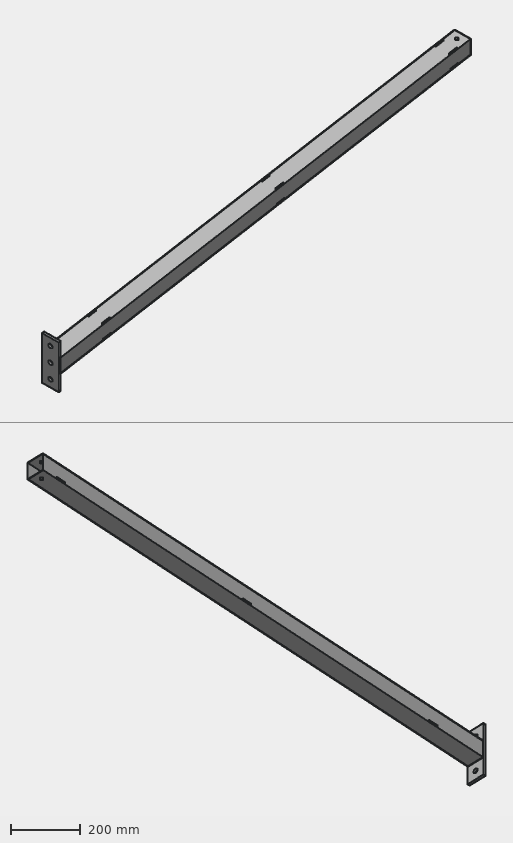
import cadquery as cq

TOTAL_LENGTH = 1816.0
TUBE_SIDE = 64.0
TUBE_CORNER_RADIUS = 3.3
WALL = 2.2

PLATE_HEIGHT = 190.0
PLATE_THICKNESS = 9.0
PLATE_HOLE_DIAMETER = 15.8
PLATE_HOLE_COUNT = 3
PLATE_HOLE_SPACING = PLATE_HEIGHT / PLATE_HOLE_COUNT

END_HOLE_DIAMETER = 10.0
END_HOLE_INSET = 25.0

SLOT_LENGTH = 35.0
SLOT_WIDTH = 4.0
SLOT_EDGE_OFFSET = 5.0
FIRST_SLOT_INSET = 73.0
SLOT_PITCH = 765.0
SLOT_STATIONS = 3

TUBE_LENGTH = TOTAL_LENGTH - PLATE_THICKNESS
SLOT_OFFSET = TUBE_SIDE / 2 - SLOT_EDGE_OFFSET


def make_plate():
    """Upright plate with its outer face at Y = 0 and a column of bolt holes."""
    plate = cq.Workplane("XY").box(TUBE_SIDE, PLATE_THICKNESS, PLATE_HEIGHT, centered=(True, False, True))
    holes = (
        cq.Workplane("XZ")
        .rarray(18, PLATE_HOLE_SPACING, 1, PLATE_HOLE_COUNT)
        .circle(PLATE_HOLE_DIAMETER / 2)
        .extrude(-PLATE_THICKNESS)
    )
    return plate.cut(holes)


def make_top_slots(y):
    """Pair of slots through the top wall, one beside each side wall."""
    return (
        cq.Workplane("XY", origin=(0, y, TUBE_SIDE / 2))
        .rarray(2 * SLOT_OFFSET, 18, 2, 1)
        .rect(SLOT_WIDTH, SLOT_LENGTH)
        .extrude(-WALL)
    )


def make_side_slot(y):
    """Slot through both side walls, just above the bottom wall."""
    return cq.Workplane("XY").box(TUBE_SIDE, SLOT_LENGTH, SLOT_WIDTH).translate((0, y, -SLOT_OFFSET))


def make_square_bar(side):
    """Square bar that starts at the plate's inner face and ends at the free end."""
    return cq.Workplane("XZ", origin=(0, PLATE_THICKNESS, 0)).rect(side, side).extrude(-TUBE_LENGTH)


def make_tube():
    """Square tube with rounded outer corners that runs from the plate to the free end."""
    outside = make_square_bar(TUBE_SIDE).edges("|Y").fillet(TUBE_CORNER_RADIUS)
    bore = make_square_bar(TUBE_SIDE - 2 * WALL)
    tube = outside.cut(bore)
    end_hole = (
        cq.Workplane("XY", origin=(0, TOTAL_LENGTH - END_HOLE_INSET, 0))
        .circle(END_HOLE_DIAMETER / 2)
        .extrude(TUBE_SIDE / 2, both=True)
    )
    tube = tube.cut(end_hole)
    for station in range(SLOT_STATIONS):
        y = TOTAL_LENGTH - FIRST_SLOT_INSET - station * SLOT_PITCH
        tube = tube.cut(make_top_slots(y)).cut(make_side_slot(y))
    return tube


plate = make_plate()
tube = make_tube()
result = cq.Compound.makeCompound([plate.val(), tube.val()])